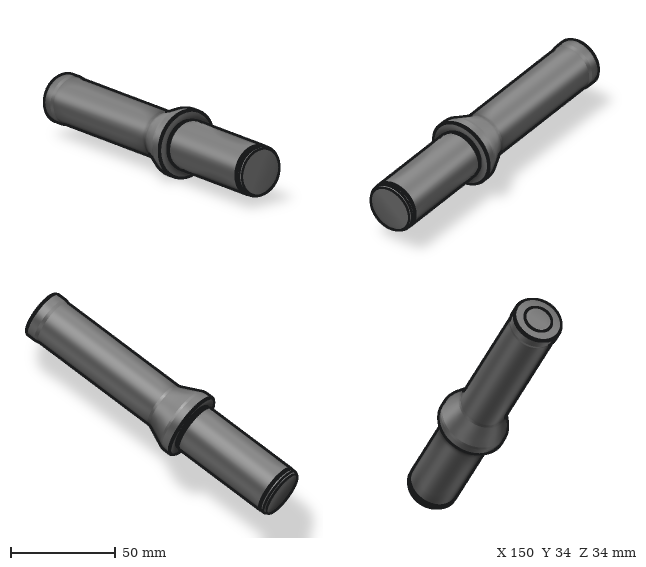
import cadquery as cq

LENGTH = 150
LAND_RADIUS = 24.5 / 2
STEM_RADIUS = 23.5 / 2
COLLAR_RADIUS = 34.0 / 2
SHANK_RADIUS = 25.0 / 2
RELIEF_RADIUS = SHANK_RADIUS - 0.5
TIP_RADIUS = SHANK_RADIUS - 0.2

LAND_CHAMFER_LENGTH = 1.0
LAND_CHAMFER_DEPTH = 0.5
LAND_END = 6.0
STEM_START = 7.8
CONE_START = 77.0
COLLAR_START = 88.8
COLLAR_END = 94.0
RELIEF_END = 95.1
SHANK_START = 95.8
RING_GROOVE_START = 146.1
RING_GROOVE_END = 146.8
RING_GROOVE_DEPTH = 0.3
TIP_CHAMFER_LENGTH = 1.4
TIP_CHAMFER_DEPTH = 0.8

CONE_ROOT_FILLET = 3.8
CONE_RIM_FILLET = 3.3
COLLAR_CHAMFER = 0.5

PLUG_RADIUS = 7.0
PLUG_DEPTH = 12
PLUG_PROTRUSION = 0.2
PLUG_CHAMFER = 0.3
FACE_SLOPE_DEPTH = 0.3
V_GROOVE_INNER_RADIUS = 4.6
V_GROOVE_BOTTOM_RADIUS = 5.7
V_GROOVE_DEPTH = 0.08


def revolve_about_x(profile):
    """Turn a list of (x, radius) points into a solid of revolution about X."""
    return cq.Workplane("XY").polyline(profile).close().revolve(360, (0, 0, 0), (1, 0, 0))


def edge_at(x, radius):
    """Select the circular edge at the given station and radius."""
    reach = radius + 0.02
    inner = radius - 0.02
    outer_box = cq.selectors.BoxSelector((x - 0.02, -reach, -reach), (x + 0.02, reach, reach), True)
    inner_box = cq.selectors.BoxSelector((x - 0.02, -inner, -inner), (x + 0.02, inner, inner), True)
    return outer_box - inner_box


def make_pillar():
    """Turned pillar with a conical collar and a seat for the plug in its left face."""
    pillar = revolve_about_x([
        (PLUG_DEPTH, 0),
        (PLUG_DEPTH, PLUG_RADIUS),
        (PLUG_PROTRUSION, PLUG_RADIUS),
        (FACE_SLOPE_DEPTH, LAND_RADIUS - LAND_CHAMFER_DEPTH),
        (LAND_CHAMFER_LENGTH, LAND_RADIUS),
        (LAND_END, LAND_RADIUS),
        (STEM_START, STEM_RADIUS),
        (CONE_START, STEM_RADIUS),
        (COLLAR_START, COLLAR_RADIUS),
        (COLLAR_END, COLLAR_RADIUS),
        (COLLAR_END, RELIEF_RADIUS),
        (RELIEF_END, RELIEF_RADIUS),
        (SHANK_START, SHANK_RADIUS),
        (RING_GROOVE_START, SHANK_RADIUS),
        (RING_GROOVE_START, SHANK_RADIUS - RING_GROOVE_DEPTH),
        (RING_GROOVE_END, SHANK_RADIUS - RING_GROOVE_DEPTH),
        (RING_GROOVE_END, TIP_RADIUS),
        (LENGTH - TIP_CHAMFER_LENGTH, TIP_RADIUS),
        (LENGTH, TIP_RADIUS - TIP_CHAMFER_DEPTH),
        (LENGTH, 0),
    ])
    pillar = pillar.edges(edge_at(CONE_START, STEM_RADIUS)).fillet(CONE_ROOT_FILLET)
    pillar = pillar.edges(edge_at(COLLAR_START, COLLAR_RADIUS)).fillet(CONE_RIM_FILLET)
    pillar = pillar.edges(edge_at(COLLAR_END, COLLAR_RADIUS)).chamfer(COLLAR_CHAMFER)
    return pillar


def make_plug():
    """Cylindrical plug with a chamfered rim and a shallow V groove around its end face."""
    return revolve_about_x([
        (0, 0),
        (0, V_GROOVE_INNER_RADIUS),
        (V_GROOVE_DEPTH, V_GROOVE_BOTTOM_RADIUS),
        (0, PLUG_RADIUS - PLUG_CHAMFER),
        (PLUG_PROTRUSION, PLUG_RADIUS),
        (PLUG_DEPTH, PLUG_RADIUS),
        (PLUG_DEPTH, 0),
    ])


pillar = make_pillar()
plug = make_plug()

result = cq.Compound.makeCompound([pillar.val(), plug.val()])